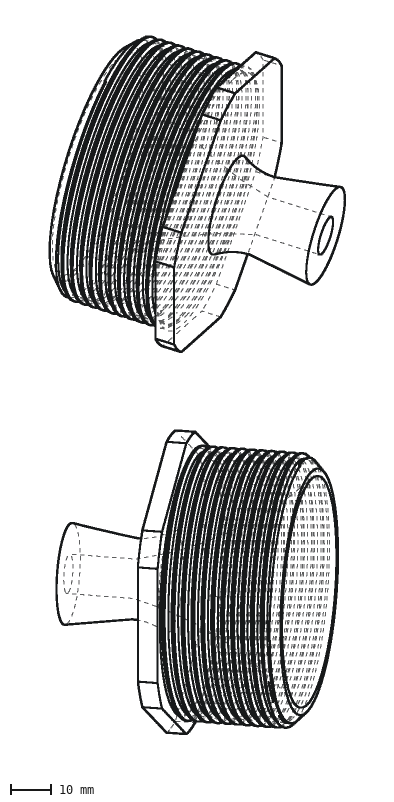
import cadquery as cq

flange_start = 30.0
flange_thickness = 5.0
flange_end = flange_start + flange_thickness
waist_x = 44.1
total_length = 61.0

hex_across_flats = 70.0
flange_diameter = 76.0

root_radius = 32.7
crest_radius = 33.95
rim_radius = 30.5
thread_pitch = 2.5
thread_base_width = 1.7
thread_crest_width = 0.45
thread_start = 1.75
trim_clearance = 7.6
chamfer_reach = 6.1
thread_root_overlap = 0.3

stem_base_radius = 12.8
flare_mid_x = 38.9
flare_mid_radius = 10.9
waist_radius = 10.0
stem_end_radius = 12.6
mouth_radius = 28.65
funnel_mid_x = 22.8
funnel_mid_radius = 12.3
throat_radius = 4.9


def barrel_space(radius):
    """Cylinder along X from the mouth to the flange."""
    return cq.Workplane("YZ").circle(radius).extrude(flange_start)


def rim_chamfer():
    """Ring whose removal leaves a 45 degree chamfer at the mouth rim."""
    return (
        cq.Workplane("XZ")
        .moveTo(-chamfer_reach, rim_radius - chamfer_reach)
        .lineTo(chamfer_reach, rim_radius + chamfer_reach)
        .lineTo(-chamfer_reach, rim_radius + chamfer_reach)
        .close()
        .revolve(360, (0, 0, 0), (1, 0, 0))
    )


def thread_ridge():
    """Right-handed trapezoidal ridge, trimmed where it meets the flange."""
    inner_radius = root_radius - thread_root_overlap
    half_base = thread_base_width / 2
    half_crest = thread_crest_width / 2
    flank_run = (half_base - half_crest) / (crest_radius - root_radius)
    half_foot = half_base + flank_run * thread_root_overlap
    helix_length = flange_end - thread_start - thread_pitch / 2
    section = [
        (inner_radius, -half_foot),
        (crest_radius, -half_crest),
        (crest_radius, half_crest),
        (inner_radius, half_foot),
    ]
    edges = [
        cq.Wire.makeHelix(thread_pitch, helix_length, radius).translate(cq.Vector(0, 0, shift))
        for radius, shift in section
    ]
    faces = [
        cq.Face.makeRuledSurface(edge, next_edge)
        for edge, next_edge in zip(edges, edges[1:] + edges[:1])
    ]
    for corners in (
        [edge.startPoint() for edge in edges],
        [edge.endPoint() for edge in edges],
    ):
        faces.append(cq.Face.makeFromWires(cq.Wire.makePolygon(corners, close=True)))
    solid = cq.Solid.makeSolid(cq.Shell.makeShell(faces)).fix()
    ridge = (
        cq.Workplane(solid)
        .rotate((0, 0, 0), (0, 1, 0), 90)
        .rotate((0, 0, 0), (1, 0, 0), 180)
        .translate((thread_start, 0, 0))
    )
    return ridge.intersect(barrel_space(crest_radius + trim_clearance))


def hex_flange():
    """Hexagon with two flats facing +Y and -Y and its corners turned to a circle."""
    disc = (
        cq.Workplane("YZ", origin=(flange_start, 0, 0))
        .circle(flange_diameter / 2)
        .extrude(flange_thickness)
    )
    hexagon = (
        cq.Workplane("YZ", origin=(flange_start, 0, 0))
        .polygon(6, hex_across_flats, circumscribed=True)
        .extrude(flange_thickness)
    )
    return disc.intersect(hexagon)


def stem():
    """Waisted stem: flared into the flange and widening gently to its free end."""
    return (
        cq.Workplane("XZ")
        .moveTo(flange_end, 0)
        .lineTo(flange_end, stem_base_radius)
        .threePointArc((flare_mid_x, flare_mid_radius), (waist_x, waist_radius))
        .lineTo(total_length, stem_end_radius)
        .lineTo(total_length, 0)
        .close()
        .revolve(360, (0, 0, 0), (1, 0, 0))
    )


def funnel_bore():
    """Curved funnel from the mouth to the throat at the waist, then a straight hole."""
    return (
        cq.Workplane("XZ")
        .lineTo(0, -mouth_radius)
        .threePointArc((funnel_mid_x, -funnel_mid_radius), (waist_x, -throat_radius))
        .lineTo(total_length, -throat_radius)
        .lineTo(total_length, 0)
        .close()
        .revolve(360, (0, 0, 0), (1, 0, 0))
    )


body = barrel_space(root_radius).union(thread_ridge()).cut(rim_chamfer())
result = body.union(hex_flange()).union(stem()).cut(funnel_bore())